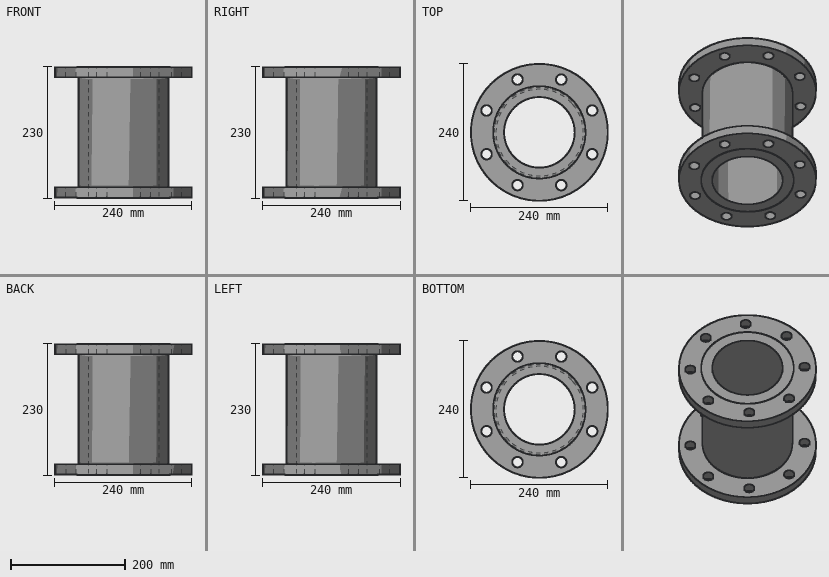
import cadquery as cq
import math

flange_diameter = 240.0
overall_height = 230.0

flange_thickness = 18.0
raised_face_diameter = 162.0
raised_face_height = 1.0

body_diameter = 158.0
bore_diameter = 123.0
body_end_round = 3.0

bolt_count = 8
bolt_circle_diameter = 200.0
bolt_hole_diameter = 18.0
bolt_start_angle = 360.0 / bolt_count / 2.0

top_z = overall_height / 2.0
flange_outer_z = top_z - raised_face_height
flange_inner_z = flange_outer_z - flange_thickness
body_edge_z = flange_inner_z - body_end_round


def revolved_spool():
    """Flanged pipe with its bore, revolved about Z."""
    bore_radius = bore_diameter / 2.0
    face_radius = raised_face_diameter / 2.0
    flange_radius = flange_diameter / 2.0
    body_radius = body_diameter / 2.0
    neck_radius = body_radius - body_end_round

    arc_inset = body_end_round * (1.0 - math.sqrt(0.5))
    arc_mid_radius = body_radius - arc_inset
    arc_mid_z = flange_inner_z - arc_inset

    return (
        cq.Workplane("XZ")
        .moveTo(bore_radius, top_z)
        .lineTo(face_radius, top_z)
        .lineTo(face_radius, flange_outer_z)
        .lineTo(flange_radius, flange_outer_z)
        .lineTo(flange_radius, flange_inner_z)
        .lineTo(neck_radius, flange_inner_z)
        .threePointArc((arc_mid_radius, arc_mid_z), (body_radius, body_edge_z))
        .lineTo(body_radius, -body_edge_z)
        .threePointArc((arc_mid_radius, -arc_mid_z), (neck_radius, -flange_inner_z))
        .lineTo(flange_radius, -flange_inner_z)
        .lineTo(flange_radius, -flange_outer_z)
        .lineTo(face_radius, -flange_outer_z)
        .lineTo(face_radius, -top_z)
        .lineTo(bore_radius, -top_z)
        .close()
        .revolve(360.0, (0, 0, 0), (0, 1, 0))
    )


def bolt_holes():
    """Cutters for the bolt holes, running through both flanges."""
    return (
        cq.Workplane("XY", origin=(0, 0, -top_z))
        .polarArray(bolt_circle_diameter / 2.0, bolt_start_angle, 360.0, bolt_count)
        .circle(bolt_hole_diameter / 2.0)
        .extrude(overall_height)
    )


result = revolved_spool().cut(bolt_holes())